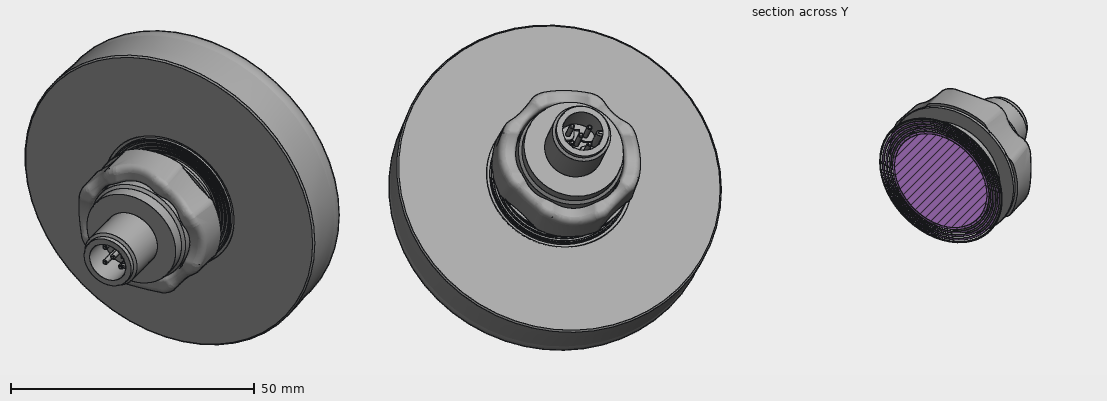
import cadquery as cq
import math


disc_radius = 33.95
disc_thickness = 13.2
disc_chamfer = 0.35
crown_height = 3.9
crown_radius = 33.6
crown_middle_radius = 33.3
crown_middle_height = 1.1
back_face_radius = 32.4
side_bulge = 0.1

neck_radius = 11.0
neck_end = -13.1
collar_radius = 10.4
collar_start = neck_end - (neck_radius - collar_radius)
collar_end = -16.2
plug_radius = 6.1
plug_shoulder = -25.0
plug_tip_radius = 5.5
plug_tip_start = -25.4
plug_tip = -26.4

socket_radius = 4.2
socket_depth = 6.8
socket_floor = plug_tip + socket_depth
cross_span = 6.05
cross_arm_width = 1.1
cross_corner_radius = 1.2
cross_depth = 0.7
pin_radius = 0.51
pin_root = 1.35
pin_chamfer = 0.2
pin_recess = 2.05
pin_offset = 1.8
key_width = 1.15
key_center = 3.5
key_recess = 0.15
key_chamfer = 0.35

seal_radius = 14.5
seal_recess_radius = 15.2
seal_recess_depth = 0.4
seal_height = 0.6
seal_front = seal_recess_depth - seal_height
seal_groove_depth = 0.2
seal_groove_width = 0.35
seal_groove_pitch = 0.8
seal_groove_count = 4
first_groove_radius = 11.5

nut_back = -4.8
nut_flange_radius = seal_radius
nut_flange_height = 0.7
nut_body_back = nut_back - nut_flange_height
nut_front = -13.5
nut_back_radius = 15.15
nut_front_radius = 14.8
nut_bore_radius = 11.35
nut_turn = 3.0
lobe_count = 4
lobe_pitch = 360.0 / lobe_count
scallop_floor = 13.85
scallop_radius = 27.15
lobe_corner_fillet = 2.2
lobe_notch_depth = 1.1
lobe_notch_radius = 9.85
scallop_notch_depth = 0.75
scallop_notch_radius = 6.45
rim_zone = 2.05
rim_middle = 13.25
notch_flare = 1.7
rim_outer_fillet = 1.35
rim_inner_fillet = 0.7


def turned(profile):
    """Revolve a closed profile drawn as (radius, Y) about the Y axis."""
    return profile.close().revolve(360, (0, 0, 0), (0, 1, 0))


def rod(radius, start, end, x=0.0, z=0.0):
    """Round bar parallel to Y, from start down to the smaller Y of end."""
    return cq.Workplane("XZ", origin=(x, start, z)).circle(radius).extrude(start - end)


def axis_distance(point):
    """Distance of a point from the common Y axis."""
    return math.hypot(point.x, point.z)


def make_cross_recess():
    """Rounded-corner cross sunk into the socket floor."""
    base = cq.Workplane("XZ", origin=(0, socket_floor + cross_depth, 0))
    arms = base.rect(cross_span, cross_arm_width).extrude(cross_depth)
    arms = arms.union(base.rect(cross_arm_width, cross_span).extrude(cross_depth))
    inner_corners = arms.edges("|Y").filter(lambda edge: axis_distance(edge.Center()) < cross_arm_width)
    return inner_corners.fillet(cross_corner_radius)


def make_key():
    """Coding key along the socket wall at +X, with a half-round inner side."""
    length = socket_depth - key_recess
    wall_overlap = (socket_radius + plug_tip_radius) / 2
    half = key_width / 2
    key = (
        cq.Workplane("XZ", origin=(0, socket_floor, 0))
        .moveTo(wall_overlap, half)
        .lineTo(key_center, half)
        .threePointArc((key_center - half, 0), (key_center, -half))
        .lineTo(wall_overlap, -half)
        .close()
        .extrude(length)
    )
    return key.faces("<Y").edges("not >X").chamfer(key_chamfer)


def make_pins():
    """One pin on the axis and four around it."""
    places = [(0, 0)]
    places += [(x, z) for x in (-pin_offset, pin_offset) for z in (-pin_offset, pin_offset)]
    root = socket_floor + pin_root
    pins = [rod(pin_radius, root, plug_tip + pin_recess, x, z) for x, z in places]
    return [pin.faces("<Y").chamfer(pin_chamfer) for pin in pins]


def make_housing():
    """Disc, neck, collar and plug with its pins, all one body."""
    side_start = disc_thickness - crown_height
    side_middle = (side_start + disc_chamfer) / 2
    side_middle_radius = (crown_radius + disc_radius) / 2 + side_bulge
    body = turned(
        cq.Workplane("XY")
        .moveTo(0, disc_thickness)
        .lineTo(back_face_radius, disc_thickness)
        .threePointArc(
            (crown_middle_radius, disc_thickness - crown_middle_height),
            (crown_radius, side_start),
        )
        .threePointArc((side_middle_radius, side_middle), (disc_radius, disc_chamfer))
        .lineTo(disc_radius - disc_chamfer, 0)
        .lineTo(seal_recess_radius, 0)
        .lineTo(seal_recess_radius, seal_recess_depth)
        .lineTo(neck_radius, seal_recess_depth)
        .lineTo(neck_radius, neck_end)
        .lineTo(collar_radius, collar_start)
        .lineTo(collar_radius, collar_end)
        .lineTo(plug_radius, collar_end)
        .lineTo(plug_radius, plug_shoulder)
        .lineTo(plug_tip_radius, plug_tip_start)
        .lineTo(plug_tip_radius, plug_tip)
        .lineTo(0, plug_tip)
    )
    body = body.cut(rod(socket_radius, socket_floor, plug_tip))
    body = body.cut(make_cross_recess())
    body = body.union(make_key())
    for pin in make_pins():
        body = body.union(pin)
    return body


def make_seal():
    """Flat ring around the neck with concentric grooves in its front."""
    seal = rod(seal_radius, seal_recess_depth, seal_front).cut(rod(neck_radius, seal_recess_depth, seal_front))
    groove_floor = seal_front + seal_groove_depth
    for index in range(seal_groove_count):
        inner = first_groove_radius + index * seal_groove_pitch
        outer = inner + seal_groove_width
        groove = rod(outer, groove_floor, seal_front).cut(rod(inner, groove_floor, seal_front))
        seal = seal.cut(groove)
    return seal


def front_notch(angle, depth, radius):
    """Radial cutter for a round notch in the nut front that flares out into the front plane."""
    reach = radius + notch_flare
    slope = math.acos((reach - depth) / reach)
    center_y = nut_front + depth - radius
    half_width = reach * math.sin(slope)
    tangent_x = radius * math.sin(slope)
    tangent_y = center_y + radius * math.cos(slope)
    flare_x = half_width - notch_flare * math.sin(slope / 2)
    flare_y = nut_front + notch_flare * (1 - math.cos(slope / 2))
    cutter = (
        cq.Workplane("YZ")
        .moveTo(nut_front, -half_width)
        .threePointArc((flare_y, -flare_x), (tangent_y, -tangent_x))
        .threePointArc((nut_front + depth, 0), (tangent_y, tangent_x))
        .threePointArc((flare_y, flare_x), (nut_front, half_width))
        .lineTo(center_y, 0)
        .close()
        .extrude(2 * nut_back_radius)
    )
    return cutter.rotate((0, 0, 0), (0, 1, 0), -angle)


def rim_edges(grip, inner_radius, outer_radius):
    """Wavy edges of the front rim whose ends both lie between the two radii."""
    def is_between(edge):
        return all(inner_radius < axis_distance(end.Center()) < outer_radius for end in edge.Vertices())

    near_front = grip.edges().filter(lambda edge: edge.BoundingBox().ymax < nut_front + rim_zone)
    return near_front.filter(lambda edge: edge.geomType() != "LINE").filter(is_between)


def lobe_corners(grip):
    """Long edges between lobes and scallops, running the whole length of the grip."""
    length = nut_body_back - nut_front
    full_length = grip.edges().filter(lambda edge: edge.BoundingBox().ylen > length / 2)
    return full_length.filter(lambda edge: axis_distance(edge.Center()) > scallop_floor)


def make_nut():
    """Four-lobed grip nut with a plain flange and a wavy, rounded front rim."""
    grip = turned(
        cq.Workplane("XY")
        .moveTo(nut_bore_radius, nut_body_back)
        .lineTo(nut_back_radius, nut_body_back)
        .lineTo(nut_front_radius, nut_front)
        .lineTo(nut_bore_radius, nut_front)
    )
    lobe_angles = [nut_turn + index * lobe_pitch for index in range(lobe_count)]
    scallop_angles = [angle + lobe_pitch / 2 for angle in lobe_angles]
    scallop_distance = scallop_floor + scallop_radius
    for angle in scallop_angles:
        x = scallop_distance * math.cos(math.radians(angle))
        z = scallop_distance * math.sin(math.radians(angle))
        grip = grip.cut(rod(scallop_radius, nut_body_back, nut_front, x, z))
    grip = lobe_corners(grip).fillet(lobe_corner_fillet)
    for angle in lobe_angles:
        grip = grip.cut(front_notch(angle, lobe_notch_depth, lobe_notch_radius))
    for angle in scallop_angles:
        grip = grip.cut(front_notch(angle, scallop_notch_depth, scallop_notch_radius))
    grip = rim_edges(grip, rim_middle, nut_back_radius).fillet(rim_outer_fillet)
    grip = rim_edges(grip, 0, rim_middle).fillet(rim_inner_fillet)
    flange = rod(nut_flange_radius, nut_back, nut_body_back).cut(rod(nut_bore_radius, nut_back, nut_body_back))
    return grip.union(flange)


housing = make_housing().solids()
seal = make_seal().solids()
nut = make_nut().solids()
result = cq.Compound.makeCompound([housing.val(), seal.val(), nut.val()])